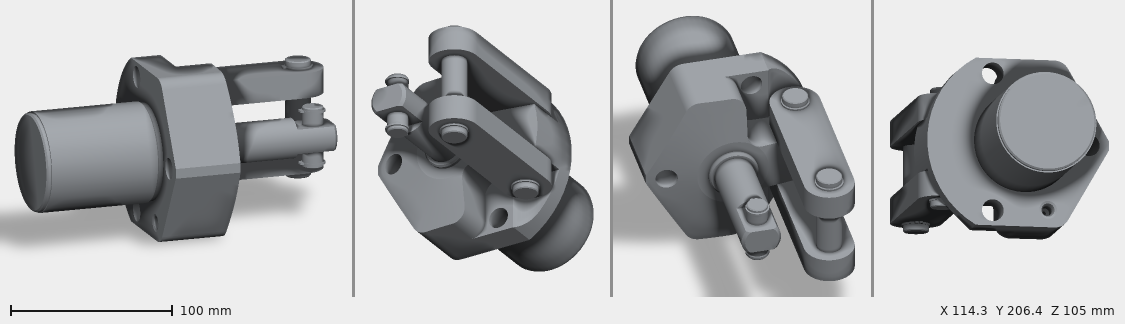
import cadquery as cq
import math


HEAD_RADIUS = 60.3
HEAD_HALF_HEIGHT = 52.5
HEAD_TOP = 47.9
NOSE_X = 54.0
NOSE_HALF_HEIGHT = 3.0
SHOULDER_RADIUS = 10.1
FLANK_ANGLE = 60
CONE_START_RADIUS = 22.7
CONE_ANGLE = 10

STEP_Y = 19.5
POCKET_BLEND = 9.5
POCKET_REACH = 123.8

LINK_THICKNESS = 16.0
LINK_RADIUS = 15.9
LINK_GAP_HALF = 16.0
LINK_X = LINK_RADIUS - HEAD_RADIUS
LOWER_PIN_Y = 28.9
UPPER_PIN_Y = 114.3
LINK_CLEARANCE = 1.7
LINK_PIN_RADIUS = 8.0
LINK_PIN_HALF_LENGTH = 37.4
PIN_CHAMFER = 0.6

MOUNT_HOLE_RADIUS = 6.8
MOUNT_HOLES = [(41.5, 0), (-19.0, 43.0), (-19.0, -43.0)]
PORT_X = 15.9
PORT_Z = -41.5
PORT_PROFILE = [(5.5, 0), (4.1, 0.6), (3.0, 4.1), (3.0, 12.4), (1.2, 13.5), (1.2, 20.6)]

BARREL_RADIUS = 31.5
BARREL_LENGTH = 76.2
NECK_RADIUS = 30.8
NECK_LENGTH = 2.9
END_STEP_LENGTH = 3.0
END_CHAMFER = 1.0
NECK_CHAMFER = BARREL_RADIUS - NECK_RADIUS

COLLAR_RADIUS = 15.7
COLLAR_HEIGHT = 3.0
COLLAR_CHAMFER = 1.0
ROD_RADIUS = 12.5
ROD_TOP = 121.0
ROD_CHAMFER = 1.9
FLAT_HALF_THICKNESS = 7.8
FLAT_START = 95.1
ROD_PIN_Y = 108.5
ROD_PIN_RADIUS = 6.6
ROD_PIN_HALF_LENGTH = 19.5
ROD_RING_Z = 16.0

RING_THICKNESS = 1.2
RING_WIDTH = 0.8
RING_OFFSET = 0.5
LUG_WIDTH = 2.3
LUG_GAP = 0.5
LUG_REACH = 2.3
LUG_CORNER = 0.8


def cylinder_y(radius, start, end):
    """Solid cylinder on the Y axis from y = start to y = end."""
    return cq.Workplane("XZ", origin=(0, start, 0)).circle(radius).extrude(start - end)


def head_prism():
    """Flange outline: a large arc on the left, flat top and bottom, and a blunt nose on the right."""
    arc_end_x = -math.sqrt(HEAD_RADIUS**2 - HEAD_HALF_HEIGHT**2)
    rise = HEAD_HALF_HEIGHT - NOSE_HALF_HEIGHT
    shoulder_x = NOSE_X - rise / math.tan(math.radians(FLANK_ANGLE))
    outline = (
        cq.Workplane("XZ")
        .moveTo(arc_end_x, HEAD_HALF_HEIGHT)
        .lineTo(shoulder_x, HEAD_HALF_HEIGHT)
        .lineTo(NOSE_X, NOSE_HALF_HEIGHT)
        .lineTo(NOSE_X, -NOSE_HALF_HEIGHT)
        .lineTo(shoulder_x, -HEAD_HALF_HEIGHT)
        .lineTo(arc_end_x, -HEAD_HALF_HEIGHT)
        .threePointArc((-HEAD_RADIUS, 0), (arc_end_x, HEAD_HALF_HEIGHT))
        .close()
        .extrude(-HEAD_TOP)
    )
    shoulders = cq.selectors.BoxSelector(
        (shoulder_x - 2, -2, -HEAD_HALF_HEIGHT - 2),
        (shoulder_x + 2, HEAD_TOP + 2, HEAD_HALF_HEIGHT + 2),
    )
    return outline.edges("|Y").edges(shoulders).fillet(SHOULDER_RADIUS)


def cone_envelope():
    """Turned body whose sloping top face bevels the head towards its rim."""
    rim = HEAD_RADIUS + 10.3
    rim_y = HEAD_TOP - (rim - CONE_START_RADIUS) * math.tan(math.radians(CONE_ANGLE))
    profile = [(0, 0), (rim, 0), (rim, rim_y), (CONE_START_RADIUS, HEAD_TOP), (0, HEAD_TOP)]
    return cq.Workplane("XY").polyline(profile).close().revolve(360, (0, 0, 0), (0, 1, 0))


def pocket():
    """Space beside the tongue: S-curved side wall, stepped floor and a round end for the link."""
    blend = POCKET_BLEND
    mid = blend * math.sin(math.radians(45))
    wall = (
        cq.Workplane("XZ", origin=(0, STEP_Y, 0))
        .moveTo(-POCKET_REACH, LINK_GAP_HALF)
        .lineTo(-2 * blend, LINK_GAP_HALF)
        .threePointArc(
            (-2 * blend + mid, LINK_GAP_HALF + blend - mid),
            (-blend, LINK_GAP_HALF + blend),
        )
        .lineTo(-blend, HEAD_HALF_HEIGHT - blend)
        .threePointArc((-mid, HEAD_HALF_HEIGHT - blend + mid), (0, HEAD_HALF_HEIGHT))
        .lineTo(0, POCKET_REACH)
        .lineTo(-POCKET_REACH, POCKET_REACH)
        .close()
        .extrude(-POCKET_REACH)
    )
    end_radius = LINK_RADIUS + LINK_CLEARANCE
    link_end = (
        cq.Workplane("XY", origin=(0, 0, LINK_GAP_HALF))
        .center(LINK_X, LOWER_PIN_Y)
        .circle(end_radius)
        .extrude(POCKET_REACH)
    )
    open_side = (
        cq.Workplane("XY", origin=(0, 0, LINK_GAP_HALF))
        .moveTo(LINK_X - POCKET_REACH, LOWER_PIN_Y - end_radius)
        .lineTo(LINK_X, LOWER_PIN_Y - end_radius)
        .lineTo(LINK_X, LOWER_PIN_Y)
        .lineTo(LINK_X - POCKET_REACH, LOWER_PIN_Y)
        .close()
        .extrude(POCKET_REACH)
    )
    return wall.union(link_end).union(open_side)


def oil_port():
    """Stepped and countersunk bore in the mounting face."""
    last_depth = PORT_PROFILE[-1][1]
    profile = [(0, 0), *PORT_PROFILE, (0, last_depth)]
    bore = cq.Workplane("XY").polyline(profile).close().revolve(360, (0, 0, 0), (0, 1, 0))
    return bore.translate((PORT_X, 0, PORT_Z))


def barrel():
    """Cylinder barrel with a necked root and a stepped, chamfered end."""
    neck = cylinder_y(NECK_RADIUS, -NECK_LENGTH - NECK_CHAMFER, 0)
    tube = cylinder_y(BARREL_RADIUS, -BARREL_LENGTH + END_STEP_LENGTH, -NECK_LENGTH)
    tube = tube.faces(">Y").chamfer(NECK_CHAMFER)
    end = cylinder_y(NECK_RADIUS, -BARREL_LENGTH, -BARREL_LENGTH + END_STEP_LENGTH)
    end = end.faces("<Y").chamfer(END_CHAMFER)
    return tube.union(neck).union(end)


def make_housing():
    """Flange head, barrel and gland collar, bored for the rod, the link pin and the bolts."""
    head = head_prism().intersect(cone_envelope())
    upper_pocket = pocket()
    head = head.cut(upper_pocket).cut(upper_pocket.mirror("XY"))
    collar = cylinder_y(COLLAR_RADIUS, HEAD_TOP, HEAD_TOP + COLLAR_HEIGHT)
    collar = collar.faces(">Y").chamfer(COLLAR_CHAMFER)
    body = head.union(barrel()).union(collar)

    for x, z in MOUNT_HOLES:
        body = body.cut(cylinder_y(MOUNT_HOLE_RADIUS, 0, HEAD_TOP).translate((x, 0, z)))
    rod_bore = cylinder_y(ROD_RADIUS, 0, HEAD_TOP + COLLAR_HEIGHT)
    pin_bore = pin(LINK_PIN_RADIUS, LINK_PIN_HALF_LENGTH).translate((LINK_X, LOWER_PIN_Y, 0))
    return body.cut(oil_port()).cut(rod_bore).cut(pin_bore)


def pin(radius, half_length):
    """Pin along Z, centred on the origin, with chamfered ends."""
    shaft = cq.Workplane("XY").circle(radius).extrude(half_length, both=True)
    return shaft.faces("<Z or >Z").chamfer(PIN_CHAMFER)


def retaining_ring(pin_radius):
    """Eccentric snap ring resting on z = 0, with two lugs on its -Y side."""
    disc = (
        cq.Workplane("XY")
        .center(0, RING_OFFSET)
        .circle(pin_radius + RING_WIDTH)
        .extrude(RING_THICKNESS)
    )
    lug_length = pin_radius + LUG_REACH
    for side in (-1, 1):
        lug = (
            cq.Workplane("XY")
            .center(side * (LUG_GAP + LUG_WIDTH) / 2, -lug_length / 2)
            .rect(LUG_WIDTH, lug_length)
            .extrude(RING_THICKNESS)
            .faces("<Y")
            .edges("|Z")
            .fillet(LUG_CORNER)
        )
        disc = disc.union(lug)
    return disc


def ringed_pin(radius, half_length, ring_z):
    """Pin with a retaining ring near each end."""
    ring = retaining_ring(radius).translate((0, 0, ring_z))
    return pin(radius, half_length).union(ring).union(ring.mirror("XY"))


def make_linkage():
    """Two parallel links joined by an upper and a lower pin."""
    span = UPPER_PIN_Y - LOWER_PIN_Y
    link = (
        cq.Workplane("XY", origin=(LINK_X, (UPPER_PIN_Y + LOWER_PIN_Y) / 2, LINK_GAP_HALF))
        .slot2D(span + 2 * LINK_RADIUS, 2 * LINK_RADIUS, 90)
        .extrude(LINK_THICKNESS)
    )
    assembly = link.union(link.mirror("XY"))
    link_pin = ringed_pin(LINK_PIN_RADIUS, LINK_PIN_HALF_LENGTH, LINK_GAP_HALF + LINK_THICKNESS)
    for y in (LOWER_PIN_Y, UPPER_PIN_Y):
        assembly = assembly.union(link_pin.translate((LINK_X, y, 0)))
    return assembly


def make_piston_rod():
    """Round rod, flattened at its outer end and carrying a cross pin."""
    rod = cylinder_y(ROD_RADIUS, 0, ROD_TOP).faces(">Y").chamfer(ROD_CHAMFER)
    flat_length = ROD_TOP - FLAT_START
    for side in (-1, 1):
        flat = cq.Workplane("XY").box(2 * ROD_RADIUS, flat_length, ROD_RADIUS)
        flat_z = side * (FLAT_HALF_THICKNESS + ROD_RADIUS / 2)
        rod = rod.cut(flat.translate((0, FLAT_START + flat_length / 2, flat_z)))
    cross_pin = ringed_pin(ROD_PIN_RADIUS, ROD_PIN_HALF_LENGTH, ROD_RING_Z)
    return rod.union(cross_pin.translate((0, ROD_PIN_Y, 0)))


housing = make_housing()
linkage = make_linkage()
piston_rod = make_piston_rod()

result = cq.Compound.makeCompound([housing.val(), linkage.val(), piston_rod.val()])